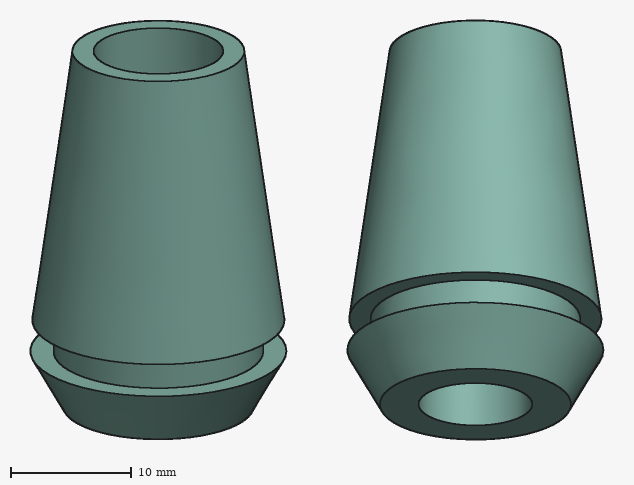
import cadquery as cq

length = 31.5

tip_diameter = 14.3
cone_base_diameter = 20.98
groove_diameter = 17.45
flange_diameter = 21.3
bottom_diameter = 15.88

flange_height = 4.85
cone_base_height = 7.62

through_diameter = 9.45
counterbore_diameter = 10.77
counterbore_depth = 7.0


def make_body():
    """Revolve the tapered outside, including the groove, around Z."""
    profile = (
        cq.Workplane("XZ")
        .moveTo(0, 0)
        .lineTo(bottom_diameter / 2, 0)
        .lineTo(flange_diameter / 2, flange_height)
        .lineTo(groove_diameter / 2, flange_height)
        .lineTo(groove_diameter / 2, cone_base_height)
        .lineTo(cone_base_diameter / 2, cone_base_height)
        .lineTo(tip_diameter / 2, length)
        .lineTo(0, length)
        .close()
    )
    return profile.revolve(360, (0, 0), (0, 1))


def cut_bore(body):
    """Cut the stepped bore down from the top face."""
    top_face = body.faces(">Z").workplane()
    return top_face.cboreHole(through_diameter, counterbore_diameter, counterbore_depth)


result = cut_bore(make_body())